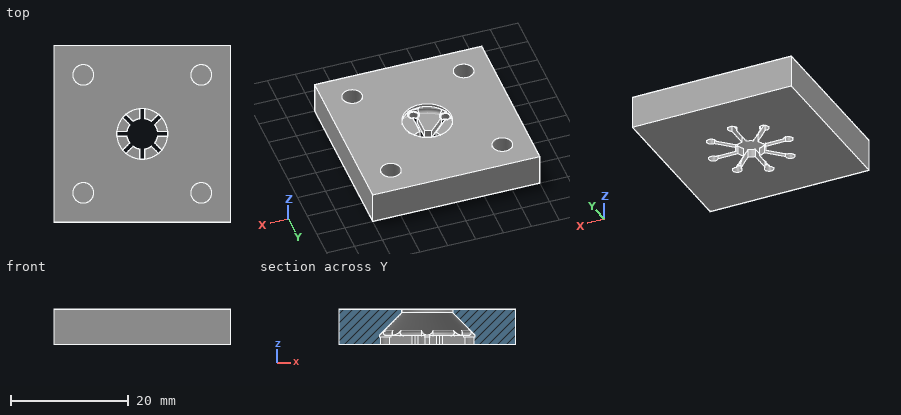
import cadquery as cq
import math

plate_side = 30.0
plate_thickness = 6.0

mount_hole_diameter = 3.5
mount_hole_pitch = 20.0
mount_hole_depth = 4.0

mouth_diameter = 8.6
mouth_depth = 0.6
flare_angle = 45.0
floor_thickness = 1.5
floor_fillet = 0.5

finger_bore_diameter = 5.2
slot_count = 8
slot_width = 0.8
relief_diameter = 1.6
relief_reach = 7.88
relief_center_radius = relief_reach - relief_diameter / 2
relief_pocket_diameter = 2.0
relief_pocket_depth = 0.2


def make_plate():
    """Plate with flat-bottomed blind holes in its top face."""
    plate = cq.Workplane("XY").box(plate_side, plate_side, plate_thickness, centered=(True, True, False))
    return (
        plate.faces(">Z").workplane()
        .rect(mount_hole_pitch, mount_hole_pitch, forConstruction=True)
        .vertices()
        .hole(mount_hole_diameter, mount_hole_depth)
    )


def make_sharp_cavity():
    """Revolved void that widens from the mouth down to the floor, before its edge is rounded."""
    mouth_radius = mouth_diameter / 2
    mouth_bottom = plate_thickness - mouth_depth
    flare_height = mouth_bottom - floor_thickness
    floor_radius = mouth_radius + flare_height * math.tan(math.radians(flare_angle))
    profile = [
        (0, floor_thickness),
        (floor_radius, floor_thickness),
        (mouth_radius, mouth_bottom),
        (mouth_radius, plate_thickness),
        (0, plate_thickness),
    ]
    return cq.Workplane("XZ").polyline(profile).close().revolve(360, (0, 0, 0), (0, 1, 0))


def upright_cylinder(diameter, bottom, height, distance=0.0):
    """Vertical cylinder standing at a distance along X from the plate axis."""
    return cq.Workplane("XY", origin=(distance, 0, bottom)).circle(diameter / 2).extrude(height)


def ring_copies(body):
    """Copies of a body at every slot angle around the plate axis, joined together."""
    ring = body
    for index in range(1, slot_count):
        ring = ring.union(body.rotate((0, 0, 0), (0, 0, 1), index * 360 / slot_count))
    return ring


def make_cavity():
    """Cavity with a rounded floor edge, left sharp in a round pocket above each relief hole."""
    sharp_cavity = make_sharp_cavity()
    rounded_cavity = sharp_cavity.faces("<Z").edges().fillet(floor_fillet)
    pocket = upright_cylinder(
        relief_pocket_diameter, floor_thickness, plate_thickness - floor_thickness, relief_center_radius
    )
    return rounded_cavity.union(sharp_cavity.intersect(ring_copies(pocket)))


def make_finger_cuts():
    """Central bore and the radial slots, each ending in a stepped relief hole, that separate the fingers."""
    bore = upright_cylinder(finger_bore_diameter, 0, floor_thickness)
    slot = (
        cq.Workplane("XY", origin=(relief_center_radius / 2, 0, 0))
        .rect(relief_center_radius, slot_width)
        .extrude(floor_thickness)
    )
    relief = upright_cylinder(relief_diameter, 0, floor_thickness, relief_center_radius)
    pocket_bottom = floor_thickness - relief_pocket_depth
    pocket = upright_cylinder(
        relief_pocket_diameter, pocket_bottom, relief_pocket_depth, relief_center_radius
    )
    return bore.union(ring_copies(slot.union(relief).union(pocket)))


result = make_plate().cut(make_cavity()).cut(make_finger_cuts())